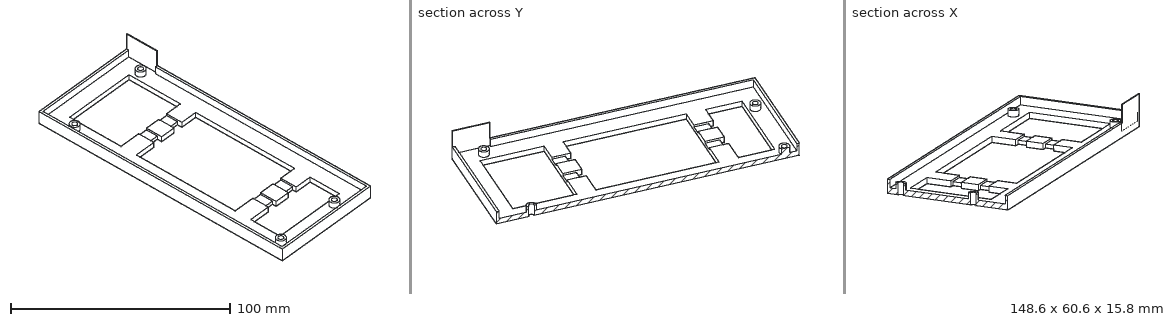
import cadquery as cq

LENGTH = 148.6
WIDTH = 60.6
RIM_HEIGHT = 7.0
FLOOR = 3.0
WALL = 1.3

TAB_LENGTH = 18.5
TAB_THICKNESS = 0.5
TAB_HEIGHT = 15.8

WINDOW_FRONT = 10.0
WINDOW_BACK = 50.7
WINDOW_SPANS = [(10.0, 41.3), (50.7, 111.0), (120.5, 138.4)]

SADDLE_WIDTH = 5.4
SADDLE_FRONTS = [22.0, 35.8]
SADDLE_DROP = 1.0
SADDLE_SETBACKS = [2.7, 2.2]

BOSS_CENTERS = [(13.4, 54.8), (17.2, 5.2), (142.0, 43.2), (141.8, 6.7)]
BOSS_DIAMETER = 5.0
BOSS_HEIGHT = 3.0
HOLE_DIAMETER = 2.7


def block(x_span, y_span, z_span):
    """Axis-aligned box given by its (start, end) span on each axis."""
    size = [end - start for start, end in (x_span, y_span, z_span)]
    corner = (x_span[0], y_span[0], z_span[0])
    return cq.Workplane("XY").box(*size, centered=False).translate(corner)


def make_tray():
    outer = block((0, LENGTH), (0, WIDTH), (0, RIM_HEIGHT))
    cavity = block((WALL, LENGTH - WALL), (WALL, WIDTH - WALL), (FLOOR, RIM_HEIGHT))
    return outer.cut(cavity)


def add_tab(body):
    tab_front = WIDTH - TAB_THICKNESS
    recess = block((WALL, TAB_LENGTH), (WIDTH - WALL, tab_front), (FLOOR, RIM_HEIGHT))
    tab = block((0, TAB_LENGTH), (tab_front, WIDTH), (0, TAB_HEIGHT))
    return body.cut(recess).union(tab)


def cut_windows(body):
    for span in WINDOW_SPANS:
        body = body.cut(block(span, (WINDOW_FRONT, WINDOW_BACK), (0, FLOOR)))
    return body


def cut_saddles(body):
    neighbours = zip(WINDOW_SPANS, WINDOW_SPANS[1:], SADDLE_SETBACKS)
    for left_window, right_window, setback in neighbours:
        bar_left = left_window[1]
        bar_right = right_window[0]
        for front in SADDLE_FRONTS:
            y_span = (front, front + SADDLE_WIDTH)
            body = body.cut(block((bar_left, bar_right), y_span, (FLOOR - SADDLE_DROP, FLOOR)))
            body = body.cut(block((bar_right - setback, bar_right), y_span, (0, FLOOR)))
    return body


def add_bosses(body):
    boss_top = FLOOR + BOSS_HEIGHT
    centers = cq.Workplane("XY").pushPoints(BOSS_CENTERS)
    bosses = centers.circle(BOSS_DIAMETER / 2).extrude(boss_top)
    holes = centers.circle(HOLE_DIAMETER / 2).extrude(boss_top)
    return body.union(bosses).cut(holes)


result = add_bosses(cut_saddles(cut_windows(add_tab(make_tray()))))